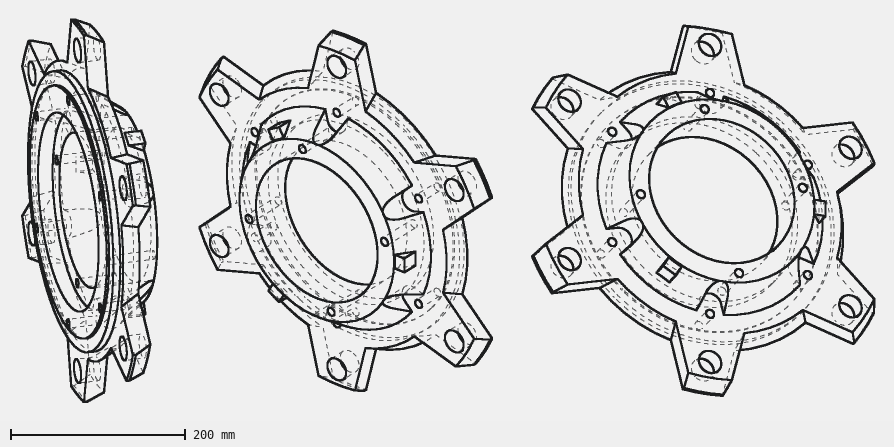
import cadquery as cq
import math


lip_end = 2.8
flange_end = 11.0
land_end = 14.5
plate_end = 34.5
body_end = 71.0

bore_radius = 89.5
recess_radius = 115.0
recess_depth = 17.5
lip_radius = 146.0
flange_radius = 162.3
disc_radius = 173.7
body_root_radius = 139.0
body_end_radius = 114.0

arm_count = 6
tip_radius = 230.0
tip_half_width = 24.5
flank_angle = 14.0
rim_taper = 0.5
arm_hole_radius = 14.0
arm_hole_circle = 200.0

screw_hole_radius = 5.0
outer_screw_circle = 139.5
inner_screw_circle = 102.0
inner_screw_count = 4
inner_screw_start_angle = 78.0

pocket_radius = 14.0
pocket_center = 127.5
pocket_reach = 161.0

key_count = 3
key_start_angle = 60.0
key_outer_radius = 128.2
key_inner_radius = 101.0
key_width = 18.5
key_length = 20.0
key_setback = 1.0

first_arm_angle = 90.0
arm_angles = [first_arm_angle + i * 360 / arm_count for i in range(arm_count)]
flank_slope = math.tan(math.radians(flank_angle))


def at_depth(y):
    """Sketch plane facing +Y, with its first axis on X and its second on -Z."""
    return cq.Workplane("XZ", origin=(0, y, 0)).transformed(rotate=(180, 0, 0))


def turned(points):
    """Solid of revolution about Y from (radius, y) points."""
    return cq.Workplane("XY").polyline(points).close().revolve(360, (0, 0), (0, 1))


def spun(solid, angle):
    """Turn a solid built along +X to an angle measured from +X toward +Z."""
    return solid.rotate((0, 0, 0), (0, 1, 0), -angle)


def hole(radius, circle, angle):
    """Cutter for a hole through the full thickness at an angle on a hole circle."""
    return spun(at_depth(0).center(circle, 0).circle(radius).extrude(body_end), angle)


def make_ring():
    """Lip, flange, tapered disc and conical body around the recessed bore."""
    rim_back_radius = disc_radius - rim_taper * (plate_end - flange_end)
    return turned(
        [
            (bore_radius, recess_depth),
            (recess_radius, recess_depth),
            (recess_radius, 0),
            (lip_radius, 0),
            (lip_radius, lip_end),
            (flange_radius, lip_end),
            (flange_radius, flange_end),
            (disc_radius, flange_end),
            (rim_back_radius, plate_end),
            (body_root_radius, plate_end),
            (body_end_radius, body_end),
            (bore_radius, body_end),
        ]
    )


def make_arm():
    """Arm along +X that narrows outward and ends in a round, back-tapered tip."""
    tip_back_radius = tip_radius - rim_taper * (plate_end - land_end)
    tip_envelope = turned(
        [
            (body_root_radius, flange_end),
            (tip_radius, flange_end),
            (tip_radius, land_end),
            (tip_back_radius, plate_end),
            (body_root_radius, plate_end),
        ]
    )
    tip_corner = math.sqrt(tip_radius**2 - tip_half_width**2)
    root_half_width = tip_half_width + (tip_corner - body_root_radius) * flank_slope
    end_half_width = tip_half_width - (tip_radius - tip_corner) * flank_slope
    outline = [
        (body_root_radius, -root_half_width),
        (tip_radius, -end_half_width),
        (tip_radius, end_half_width),
        (body_root_radius, root_half_width),
    ]
    wedge = at_depth(flange_end).polyline(outline).close().extrude(plate_end - flange_end)
    return wedge.intersect(tip_envelope)


def make_pocket():
    """Round-ended cut whose straight walls flare outward at the flank angle."""
    flank = math.radians(flank_angle)
    tangent_x = pocket_center - pocket_radius * math.sin(flank)
    tangent_half_width = pocket_radius * math.cos(flank)
    mouth_half_width = tangent_half_width + (pocket_reach - tangent_x) * flank_slope
    return (
        at_depth(plate_end)
        .moveTo(pocket_reach, -mouth_half_width)
        .lineTo(tangent_x, -tangent_half_width)
        .threePointArc((pocket_center - pocket_radius, 0), (tangent_x, tangent_half_width))
        .lineTo(pocket_reach, mouth_half_width)
        .close()
        .extrude(body_end - plate_end)
    )


def make_key():
    """Block that stands out from the cone, seated inside the body wall."""
    radial_length = key_outer_radius - key_inner_radius
    return (
        at_depth(body_end - key_setback - key_length)
        .center(key_inner_radius + radial_length / 2, 0)
        .rect(radial_length, key_width)
        .extrude(key_length)
    )


result = make_ring()
for angle in arm_angles:
    result = result.union(spun(make_arm(), angle))

for angle in arm_angles:
    result = result.cut(spun(make_pocket(), angle))
    result = result.cut(hole(arm_hole_radius, arm_hole_circle, angle))
    result = result.cut(hole(screw_hole_radius, outer_screw_circle, angle))

for i in range(inner_screw_count):
    angle = inner_screw_start_angle + i * 360 / inner_screw_count
    result = result.cut(hole(screw_hole_radius, inner_screw_circle, angle))

for i in range(key_count):
    result = result.union(spun(make_key(), key_start_angle + i * 360 / key_count))